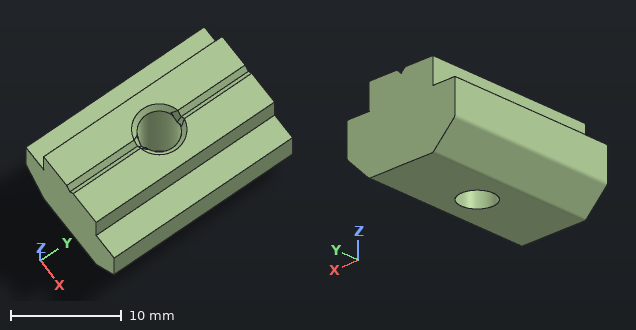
import cadquery as cq
import math

length = 20.0
body_width = 13.5
height = 9.7

neck_width = 8.0
neck_height = 3.0
base_width = 8.0
corner_radius = 0.5

hole_diameter = 4.0
rim_chamfer = 0.5
rim_angle = 90.0

groove_width = 1.0
groove_depth = groove_width / 2

shoulder_z = height - neck_height
slope_height = (body_width - base_width) / 2


def make_body():
    """Extrude the T-nut profile along Y and round its lower edges."""
    right_side = [
        (base_width / 2, 0),
        (body_width / 2, slope_height),
        (body_width / 2, shoulder_z),
        (neck_width / 2, shoulder_z),
        (neck_width / 2, height),
    ]
    left_side = [(-x, z) for x, z in reversed(right_side)]
    body = (
        cq.Workplane("XZ")
        .polyline(right_side + left_side)
        .close()
        .extrude(length / 2, both=True)
    )
    below_shoulder = cq.selectors.BoxSelector(
        (-body_width, -length, -0.2),
        (body_width, length, (slope_height + shoulder_z) / 2),
    )
    return body.edges("|Y").edges(below_shoulder).fillet(corner_radius)


def make_groove():
    """Triangular prism that cuts the V-groove along the full length."""
    return (
        cq.Workplane("XZ")
        .polyline([
            (-groove_width / 2, height),
            (groove_width / 2, height),
            (0, height - groove_depth),
        ])
        .close()
        .extrude(length / 2, both=True)
    )


def make_groove_end_chamfer():
    """Cutter that carries the rim chamfer down to the groove bed, at the -Y end of the hole."""
    half_width = groove_width / 2
    outer_y = math.sqrt((hole_diameter / 2 + rim_chamfer) ** 2 - half_width**2)
    wall_y = math.sqrt((hole_diameter / 2) ** 2 - half_width**2)
    run = outer_y - wall_y
    drop = run * math.sqrt(2)
    profile = cq.Wire.makePolygon(
        [
            cq.Vector(0, -outer_y, height - groove_depth),
            cq.Vector(half_width + drop, -outer_y, height + drop),
            cq.Vector(-half_width - drop, -outer_y, height + drop),
        ],
        close=True,
    )
    sweep = cq.Vector(0, run, -drop)
    return cq.Workplane(cq.Solid.extrudeLinear(profile, [], sweep))


result = (
    make_body()
    .faces(">Z")
    .workplane(origin=(0, 0, height))
    .cskHole(hole_diameter, hole_diameter + 2 * rim_chamfer, rim_angle)
    .cut(make_groove())
)
groove_end_chamfer = make_groove_end_chamfer()
for end_angle in (0, 180):
    result = result.cut(groove_end_chamfer.rotate((0, 0, 0), (0, 0, 1), end_angle))